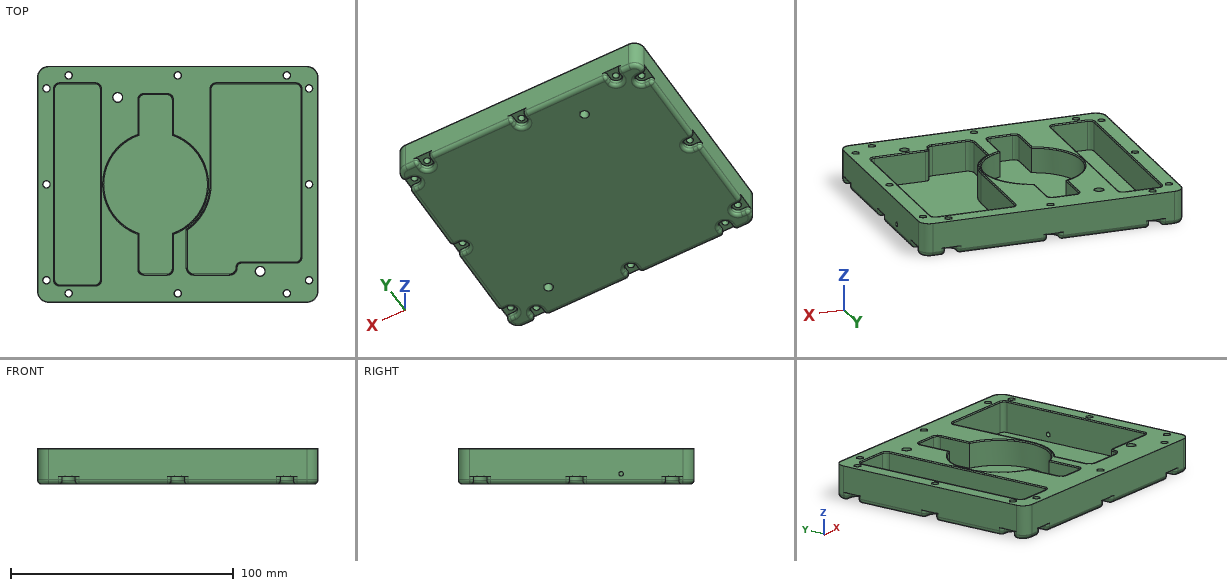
import cadquery as cq
import math

length = 126.0
width = 106.0
height = 16.0
corner_radius = 5.0
bottom_fillet = 2.0

pocket_chamfer = 0.5
pocket_corner_radius = 2.3
side_margin = 7.7
end_margin = 7.8

left_pocket_width = 20.5
left_floor = 1.8

round_pocket_x = -10.0
round_pocket_radius = 23.3
tab_width = 15.0
tab_reach = 40.3
round_floor = 3.8

right_floor = 1.3
thin_wall = 1.6
right_lower_y = -34.9
lobe_left_x = 4.3
lobe_right_x = 26.2
lobe_bottom_y = -40.3
lobe_corner_radius = 3.0
step_radius = 2.3

screw_hole_diameter = 3.2
screw_edge_distance = 4.0
screw_offset_x = 49.0
screw_offset_y = 43.1
notch_width = 5.9
notch_depth = 3.5
notch_rim_fillet = 1.6

large_hole_diameter = 4.3
large_hole_positions = [(-27.0, 39.0), (37.0, -39.0)]

cross_hole_diameter = 2.0
cross_hole_y = 20.2
cross_hole_z = 4.7

half_length = length / 2
half_width = width / 2
pocket_end_y = half_width - end_margin
left_pocket_x = side_margin - half_length
right_pocket_x = half_length - side_margin
screw_x = half_length - screw_edge_distance
screw_y = half_width - screw_edge_distance

match_tolerance = 0.01


def plane_at(z):
    return cq.Workplane("XY").workplane(offset=z)


def box_between(x_min, x_max, y_min, y_max, floor):
    return (
        plane_at(floor)
        .center((x_min + x_max) / 2, (y_min + y_max) / 2)
        .rect(x_max - x_min, y_max - y_min)
        .extrude(height - floor)
    )


def left_pocket():
    right_x = left_pocket_x + left_pocket_width
    pocket = box_between(left_pocket_x, right_x, -pocket_end_y, pocket_end_y, left_floor)
    return pocket.edges("|Z").fillet(pocket_corner_radius)


def round_pocket():
    """Round recess with a straight tab on its +Y and -Y sides."""
    half_tab = tab_width / 2
    tabs = box_between(
        round_pocket_x - half_tab, round_pocket_x + half_tab, -tab_reach, tab_reach, round_floor
    )
    tabs = tabs.edges("|Z").fillet(pocket_corner_radius)
    recess = (
        plane_at(round_floor)
        .center(round_pocket_x, 0)
        .circle(round_pocket_radius)
        .extrude(height - round_floor)
    )
    return recess.union(tabs)


def corner_edges(solid, points):
    """Vertical edges of a solid that stand at the given (x, y) points."""
    edges = [
        edge
        for edge in solid.edges("|Z").vals()
        if any(math.hypot(edge.Center().x - x, edge.Center().y - y) < match_tolerance for x, y in points)
    ]
    return solid.newObject(edges)


def right_pocket():
    """Pocket whose -X wall runs along the round pocket and ends in a lobe towards -Y."""
    wrap_radius = round_pocket_radius + thin_wall
    upper_left_x = round_pocket_x + wrap_radius
    lobe_dx = lobe_left_x - round_pocket_x
    arc_end_y = -math.sqrt(wrap_radius**2 - lobe_dx**2)
    arc_middle_angle = math.atan2(arc_end_y, lobe_dx) / 2
    arc_middle = (
        round_pocket_x + wrap_radius * math.cos(arc_middle_angle),
        wrap_radius * math.sin(arc_middle_angle),
    )
    plain_corners = [
        (upper_left_x, pocket_end_y),
        (right_pocket_x, pocket_end_y),
        (right_pocket_x, right_lower_y),
    ]
    step_corner = (lobe_right_x, right_lower_y)
    lobe_corners = [(lobe_right_x, lobe_bottom_y), (lobe_left_x, lobe_bottom_y)]
    pocket = (
        plane_at(right_floor)
        .moveTo(upper_left_x, 0)
        .polyline(plain_corners + [step_corner] + lobe_corners, includeCurrent=True)
        .lineTo(lobe_left_x, arc_end_y)
        .threePointArc(arc_middle, (upper_left_x, 0))
        .close()
        .extrude(height - right_floor)
    )
    pocket = corner_edges(pocket, plain_corners).fillet(pocket_corner_radius)
    pocket = corner_edges(pocket, [step_corner]).fillet(step_radius)
    return corner_edges(pocket, lobe_corners).fillet(lobe_corner_radius)


def screw_places():
    """Position of every screw hole with the outward direction of its side."""
    places = []
    for side in (-1, 1):
        for step in (-1, 0, 1):
            places.append((step * screw_offset_x, side * screw_y, (0, side)))
            places.append((side * screw_x, step * screw_offset_y, (side, 0)))
    return places


def screw_notch(x, y, direction):
    """Round-ended seat for a screw head, running out through the side wall."""
    reach = 2 * screw_edge_distance
    angle = math.degrees(math.atan2(direction[1], direction[0]))
    seat = cq.Workplane("XY").circle(notch_width / 2).extrude(notch_depth)
    channel = cq.Workplane("XY").rect(reach, notch_width).extrude(notch_depth)
    channel = channel.translate((reach / 2, 0, 0))
    return seat.union(channel).rotate((0, 0, 0), (0, 0, 1), angle).translate((x, y, 0))


def notch_rims(solid):
    """Bottom arc of every notch. The rest of each rim is tangent to it, so a fillet follows on."""
    rims = []
    for x, y, direction in screw_places():
        arc_x = x - direction[0] * notch_width / 2
        arc_y = y - direction[1] * notch_width / 2
        rims += solid.edges(cq.selectors.NearestToPointSelector((arc_x, arc_y, 0))).vals()
    return solid.newObject(rims)


def through_holes(points, diameter):
    return cq.Workplane("XY").pushPoints(points).circle(diameter / 2).extrude(height)


body = cq.Workplane("XY").rect(length, width).extrude(height).edges("|Z").fillet(corner_radius)
body = body.faces("<Z").edges().fillet(bottom_fillet)
for x, y, direction in screw_places():
    body = body.cut(screw_notch(x, y, direction))
body = notch_rims(body).fillet(notch_rim_fillet)

for pocket in (left_pocket(), round_pocket(), right_pocket()):
    body = body.cut(pocket)
rims = [edge for wire in body.faces(">Z").val().innerWires() for edge in wire.Edges()]
body = body.newObject(rims).chamfer(pocket_chamfer)

screw_points = [(x, y) for x, y, _ in screw_places()]
body = body.cut(through_holes(screw_points, screw_hole_diameter))
body = body.cut(through_holes(large_hole_positions, large_hole_diameter))
cross_hole = (
    cq.Workplane("YZ", origin=(right_pocket_x, 0, 0))
    .center(cross_hole_y, cross_hole_z)
    .circle(cross_hole_diameter / 2)
    .extrude(side_margin)
)
result = body.cut(cross_hole)